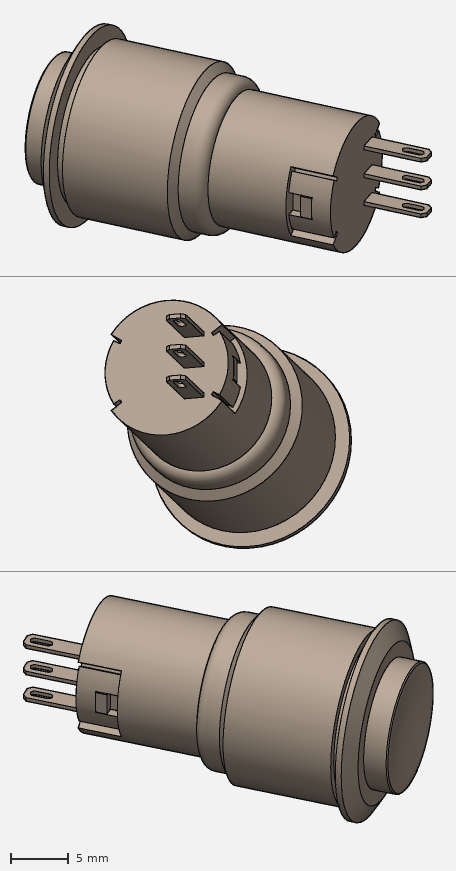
import cadquery as cq
import math


OVERALL_LENGTH = 34.7
FLANGE_FRONT_X = 2.2
RIM_FRONT_X = 3.15
FLANGE_BACK_X = 3.7
BARREL_FRONT_X = 4.5
BARREL_TAPER_X = 14.45
COLLAR_FRONT_X = 15.1
COLLAR_BACK_X = 17.5
NOTCH_FRONT_X = 24.9
HOUSING_BACK_X = 28.9

BUTTON_R = 11.8 / 2
FLANGE_FACE_R = 14.64 / 2
RIM_R = 18.0 / 2
NECK_R = 14.37 / 2
BARREL_R = 15.9 / 2
COLLAR_R = 14.16 / 2
HOUSING_R = 12.2 / 2
COLLAR_ROUND = COLLAR_R - HOUSING_R

BUTTON_CHAMFER = 0.12
DISH_R = 10.4 / 2
DISH_DEPTH = 0.45

NOTCH_LENGTH = HOUSING_BACK_X - NOTCH_FRONT_X
NOTCH_HALF_HEIGHT = 3.45
NOTCH_FLOOR_R = 4.95
TAB_R = 5.6
TAB_HALF_HEIGHT = 2.88
WINDOW_LENGTH = 2.2
WINDOW_HEIGHT = 2.2
WINDOW_DEPTH = 1.0
WINDOW_FLOOR_Y = TAB_R - WINDOW_DEPTH
CATCH_LENGTH = 1.05
CATCH_HEIGHT = 2.05
CATCH_FACE_Y = 5.55

TERMINAL_PITCH = 2.78
TERMINAL_THICKNESS = 0.38
TERMINAL_WIDTH = 1.75
TERMINAL_Y = 2.5
TERMINAL_CHAMFER = 0.38
TERMINAL_ROOT = 1.0
EYE_LENGTH = 2.0
EYE_WIDTH = 0.7
EYE_END_MARGIN = 0.5


def make_turned_body():
    """Revolve the button, flange, barrel, collar and housing as one profile."""
    round_x = COLLAR_BACK_X - COLLAR_ROUND
    round_mid = COLLAR_ROUND * math.sqrt(0.5)
    profile = (
        cq.Workplane("XY")
        .moveTo(DISH_DEPTH, 0)
        .threePointArc(dish_midpoint(), (0, DISH_R))
        .lineTo(0, BUTTON_R - BUTTON_CHAMFER)
        .lineTo(BUTTON_CHAMFER, BUTTON_R)
        .lineTo(FLANGE_FRONT_X, BUTTON_R)
        .lineTo(FLANGE_FRONT_X, FLANGE_FACE_R)
        .lineTo(RIM_FRONT_X, RIM_R)
        .lineTo(FLANGE_BACK_X, RIM_R)
        .lineTo(FLANGE_BACK_X, NECK_R)
        .lineTo(BARREL_FRONT_X, NECK_R)
        .lineTo(BARREL_FRONT_X, BARREL_R)
        .lineTo(BARREL_TAPER_X, BARREL_R)
        .lineTo(COLLAR_FRONT_X, COLLAR_R)
        .lineTo(round_x, COLLAR_R)
        .threePointArc((round_x + round_mid, HOUSING_R + round_mid), (COLLAR_BACK_X, HOUSING_R))
        .lineTo(HOUSING_BACK_X, HOUSING_R)
        .lineTo(HOUSING_BACK_X, 0)
        .close()
    )
    return profile.revolve(360, (0, 0, 0), (1, 0, 0))


def dish_midpoint():
    """Point halfway out on the spherical dish of the button face."""
    sphere_r = (DISH_R**2 + DISH_DEPTH**2) / (2 * DISH_DEPTH)
    mid_r = DISH_R / 2
    return (DISH_DEPTH - sphere_r + math.sqrt(sphere_r**2 - mid_r**2), mid_r)


def disc(radius):
    """Cylinder on the axis, as long as the notches."""
    return cq.Workplane("YZ", origin=(NOTCH_FRONT_X, 0, 0)).circle(radius).extrude(NOTCH_LENGTH)


def box_from(x_start, length, side, inner_y, outer_y, height):
    """Box centred on Z = 0, spanning inner_y to outer_y on the given Y side."""
    middle = (x_start + length / 2, side * (inner_y + outer_y) / 2, 0)
    return cq.Workplane("XY", origin=middle).box(length, outer_y - inner_y, height)


def sector(side, radius, half_height):
    """Pie slice whose radial faces meet a cylinder of this radius at Z = +-half_height."""
    reach = 2 * radius
    half_angle = math.asin(half_height / radius)
    far_y = side * reach * math.cos(half_angle)
    far_z = reach * math.sin(half_angle)
    wedge = (
        cq.Workplane("YZ", origin=(NOTCH_FRONT_X, 0, 0))
        .polyline([(0, 0), (far_y, far_z), (far_y, -far_z)])
        .close()
        .extrude(NOTCH_LENGTH)
    )
    return wedge.intersect(disc(radius))


def make_notch(side):
    """Ring sector with radial end walls, cut from the housing."""
    slice_to_rim = sector(side, HOUSING_R, NOTCH_HALF_HEIGHT)
    return slice_to_rim.cut(disc(NOTCH_FLOOR_R))


def make_tab(side):
    """Latch tab with a curved outer face and radial ends, standing in the notch."""
    return sector(side, TAB_R, TAB_HALF_HEIGHT)


def make_window(side):
    """Flat-floored pocket sunk into the front of the tab."""
    return box_from(NOTCH_FRONT_X, WINDOW_LENGTH, side, WINDOW_FLOOR_Y, TAB_R, WINDOW_HEIGHT)


def make_catch(side):
    """Flat-faced block filling the rear part of the window."""
    catch_x = NOTCH_FRONT_X + WINDOW_LENGTH - CATCH_LENGTH
    return box_from(catch_x, CATCH_LENGTH, side, WINDOW_FLOOR_Y, CATCH_FACE_Y, CATCH_HEIGHT)


def make_terminal(z):
    """Flat solder tag with a chamfered tip and a slotted eye."""
    length = OVERALL_LENGTH - HOUSING_BACK_X + TERMINAL_ROOT
    eye_x = OVERALL_LENGTH - EYE_END_MARGIN - EYE_LENGTH / 2
    blade = (
        cq.Workplane("XY", origin=(OVERALL_LENGTH - length / 2, TERMINAL_Y, z))
        .box(length, TERMINAL_WIDTH, TERMINAL_THICKNESS)
        .edges("|Z and >X")
        .chamfer(TERMINAL_CHAMFER)
    )
    eye = (
        cq.Workplane("XY", origin=(eye_x, TERMINAL_Y, z - TERMINAL_THICKNESS))
        .slot2D(EYE_LENGTH, EYE_WIDTH)
        .extrude(2 * TERMINAL_THICKNESS)
    )
    return blade.cut(eye)


result = make_turned_body()
for side in (-1, 1):
    result = result.cut(make_notch(side))
    result = result.union(make_tab(side))
    result = result.cut(make_window(side))
    result = result.union(make_catch(side))
for z in (-TERMINAL_PITCH, 0, TERMINAL_PITCH):
    result = result.union(make_terminal(z))